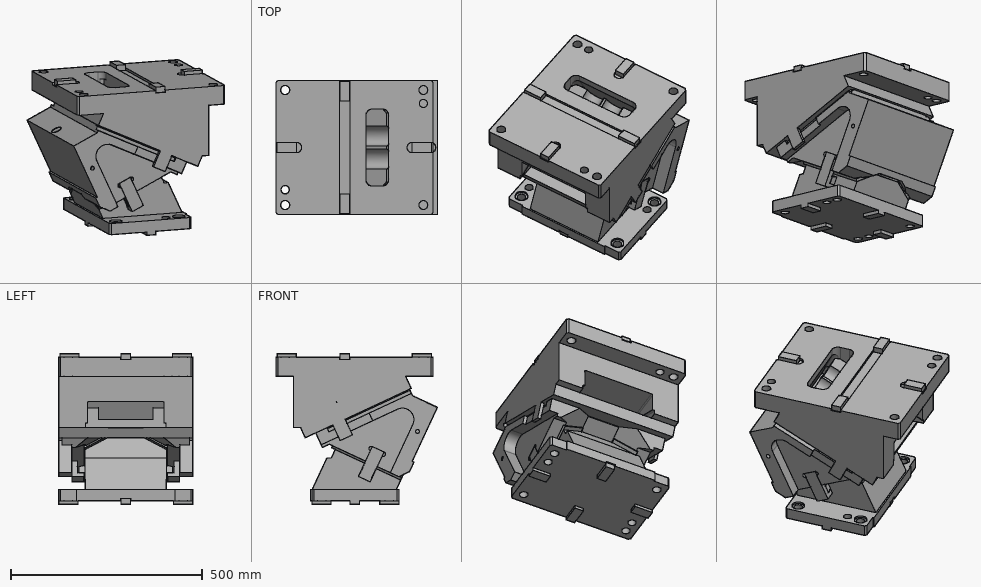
import cadquery as cq
import math


SLOPE = math.radians(25)
COS = math.cos(SLOPE)
SIN = math.sin(SLOPE)
U = (COS, SIN)
V = (-SIN, COS)
P = (COS, -SIN)
Q = (SIN, COS)

UPRIGHT = cq.Plane((0, 0, 0), (1, 0, 0), (0, -1, 0))
UPPER = cq.Plane((0, 0, 0), (COS, 0, SIN), (0, -1, 0))
ALONG_UPPER = cq.Plane((0, 0, 0), (COS, 0, SIN), (-SIN, 0, COS))
ACROSS_UPPER = cq.Plane((0, 0, 0), (0, 1, 0), (COS, 0, SIN))
LOWER = cq.Plane((0, 0, 0), (COS, 0, -SIN), (0, -1, 0))
ALONG_LOWER = cq.Plane((0, 0, 0), (COS, 0, -SIN), (SIN, 0, COS))
ACROSS_LOWER = cq.Plane((0, 0, 0), (0, 1, 0), (COS, 0, -SIN))

half_width = 175.0
far = 600.0

plate_length = 410.0
plate_bottom = 334.0
plate_top = 384.0
corner_chamfer = 5.0
upper_slide = 125.0
driver_left = 45.5
driver_floor = 200.5
chin_u = 142.5
driver_end_u = 448.0
hook_start_u = 222.0
hook_end_u = 257.5
hook_bottom_v = 80.0
hook_inner_y = 166.0
cavity_half_width = 99.5
cavity_top = 268.0
cavity_foot_half_width = 105.0
cavity_foot_v = 173.5
cavity_corner_radius = 3.0
stop_face_u = 256.0
stop_half_width = 71.0
window_top_v = 158.0
slot_left = 235.0
slot_right = 294.0
slot_half_width = 100.5
slot_corner_radius = 17.0
slot_straight_depth = 19.0
ramp_v = 198.0
ramp_end_u = 410.5
ramp_half_width = 98.5
ramp_chamfer = 9.0
trough_radius = 26.0
trough_y = 30.0
chamber_end_u = slot_right * COS + (plate_top - slot_straight_depth) * SIN
mount_hole_x = (24.0, 384.5)
mount_hole_y = 150.0
mount_hole_diameter = 23.0
dowel_diameter = 21.0
driver_dowels = ((24.0, -110.0), (384.5, 115.0))

key_width = 25.0
key_length = 50.5
key_stand_off = 9.0
key_slot_width = 27.0
key_slot_depth = 6.0
key_inset = 3.0
cross_key_x = 179.5
right_key_slot_start = 342.0

tail_u = 172.5
tail_bottom_v = 83.0
slider_bottom_q = 201.0
slider_end_q = 407.7
slider_end_u = 443.0
slider_back_p = 275.0
heel_p = 280.0
heel_top_q = 252.0
heel_bottom_v = -70.0
rail_y = 166.0
rail_end_u = 321.0
rail_bottom_v = 91.0
bearing_step_v = 122.0
bearing_y = 150.0
ledge_v = 113.0
ledge_y = 160.0
ledge_start_u = 205.0
core_y = 141.5
recess_right_p = 235.5
recess_radius = 30.0
tapped_hole_xz = (369.3, 190.2)
tapped_hole_diameter = 10.0
tapped_hole_depth = 20.0
spot_face_p = 256.5
spot_face_diameter = key_slot_width
spot_face_depth = 1.0

claw_start_p = 164.0
claw_end_p = 198.0
claw_bottom_q = 157.0
claw_foot_q = 168.0
claw_top_q = 243.0
claw_inner_y = 109.5
claw_leg_y = 126.0
claw_outer_y = 140.5
claw_relief_radius = 6.0
lug_outer_y = 122.5
lug_inner_top_q = 190.0
lug_outer_top_q = 186.0
lug_end_gap = 2.0

base_left = 90.0
base_corner_left = 93.7
base_right = 321.0
base_nose_half_width = 129.0
base_bottom = 9.0
base_top = 39.0
block_half_width = 106.0
block_left_p = 69.0
block_step_z = 121.0
block_step_p = 79.5
block_right_p = 268.5
eave_q = 195.0
roof_angle = math.radians(30)
roof_flat_half_width = 45.0
wear_plate_thickness = 8.0
slider_roof_gap = 5.2
wear_plate_start_p = 69.0
wear_plate_end_p = 267.5
base_hole_inset = 26.0
base_hole_y = 150.0
base_hole_diameter = 22.0
counterbore_diameter = 33.0
counterbore_depth = 5.0
base_dowels = ((260.5, -150.0), (156.0, 150.0))


def meet(direction_a, a, direction_b, b):
    """(x, z) where the line at level a along direction_a crosses level b along direction_b."""
    det = direction_a[0] * direction_b[1] - direction_a[1] * direction_b[0]
    x = (a * direction_b[1] - b * direction_a[1]) / det
    z = (direction_a[0] * b - direction_b[0] * a) / det
    return (x, z)


def slab(plane, points, half):
    """Outline extruded evenly to both sides of Y = 0."""
    return cq.Workplane(plane).polyline(points).close().extrude(half, both=True)


def side_pair(plane, points, inner_y, outer_y):
    """Outline extruded between two distances from Y = 0, on both sides."""
    near = cq.Workplane(plane).workplane(offset=inner_y).polyline(points).close()
    piece = near.extrude(outer_y - inner_y)
    return piece.union(piece.mirror("XZ"))


def rectangle(a0, a1, b0, b1):
    return [(a0, b0), (a1, b0), (a1, b1), (a0, b1)]


def box(x0, x1, y0, y1, z0, z1):
    return cq.Workplane("XY").box(x1 - x0, y1 - y0, z1 - z0, centered=False).translate((x0, y0, z0))


def drill(points, diameter, z0, z1):
    bottom = cq.Workplane("XY").workplane(offset=z0)
    return bottom.pushPoints(points).circle(diameter / 2).extrude(z1 - z0)


def driver_block():
    outline = [
        (driver_left, plate_bottom),
        (driver_left, driver_floor),
        meet(U, chin_u, (0, 1), driver_floor),
        meet(U, chin_u, V, upper_slide),
        meet(U, driver_end_u, V, upper_slide),
        meet(U, driver_end_u, (0, 1), plate_bottom),
    ]
    plate = box(0, plate_length, -half_width, half_width, plate_bottom, plate_top)
    plate = plate.edges("|Z").chamfer(corner_chamfer)
    hooks = rectangle(hook_start_u, hook_end_u, hook_bottom_v, upper_slide)
    block = plate.union(slab(UPRIGHT, outline, half_width))
    return block.union(side_pair(UPPER, hooks, hook_inner_y, half_width))


def driver_cavity():
    """Space behind the left opening, closed by the stop wall and open to the slot by two windows."""
    tall = box(0, far, -cavity_half_width, cavity_half_width, driver_floor, cavity_top)
    tall = tall.edges("|X and >Z").fillet(cavity_corner_radius)
    foot = slab(UPPER, rectangle(-far, far, upper_slide, cavity_foot_v), cavity_foot_half_width)
    along_slide = cq.selectors.ParallelDirSelector(cq.Vector(COS, 0, SIN))
    foot = foot.edges(along_slide).edges(">Z").fillet(cavity_corner_radius)
    foot = foot.intersect(box(0, far, -half_width, half_width, driver_floor, far))
    left_of_stop = slab(UPPER, rectangle(-far, stop_face_u, -far, far), half_width)
    room = tall.union(foot).intersect(left_of_stop)
    windows = rectangle(stop_face_u, chamber_end_u, upper_slide, window_top_v)
    return room.union(side_pair(UPPER, windows, stop_half_width, cavity_half_width))


def ramp():
    """Sloping floor below the slot, with two round troughs and chamfered corners at its free end."""
    blank = slab(UPPER, rectangle(0, ramp_end_u, 0, ramp_v), far)
    trim = [
        (ramp_end_u - ramp_chamfer, ramp_half_width),
        (ramp_end_u, ramp_half_width - ramp_chamfer),
        (ramp_end_u, half_width),
        (ramp_end_u - ramp_chamfer, half_width),
    ]
    corner = cq.Workplane(ALONG_UPPER).polyline(trim).close().extrude(far)
    troughs = cq.Workplane(ACROSS_UPPER).pushPoints([(-trough_y, ramp_v), (trough_y, ramp_v)])
    troughs = troughs.circle(trough_radius).extrude(far)
    return blank.cut(corner).cut(corner.mirror("XZ")).cut(troughs)


def driver_slot():
    """Slot in the plate; below its straight part the right wall turns square to the slide."""
    straight_bottom = plate_top - slot_straight_depth
    middle = (slot_left + slot_right) / 2
    slot = cq.Workplane("XY").center(middle, 0).rect(slot_right - slot_left, 2 * slot_half_width)
    slot = slot.extrude(plate_top).edges("|Z").fillet(slot_corner_radius)
    slot = slot.intersect(slab(UPPER, rectangle(0, far, upper_slide, far), half_width))
    square_to_slide = cq.selectors.ParallelDirSelector(cq.Vector(-SIN, 0, COS))
    chamber = slab(UPPER, rectangle(stop_face_u, chamber_end_u, upper_slide, far), cavity_half_width)
    chamber = chamber.edges(square_to_slide).edges(">X").fillet(slot_corner_radius)
    chamber = chamber.intersect(box(slot_left, far, -half_width, half_width, 0, straight_bottom))
    return slot.union(chamber).cut(ramp())


def obround_end(x):
    """Round end of a key slot."""
    slot_floor = cq.Workplane("XY").workplane(offset=plate_top - key_slot_depth)
    return slot_floor.center(x, 0).circle(key_slot_width / 2).extrude(far)


def driver_key_slots():
    z0 = plate_top - key_slot_depth
    half = key_slot_width / 2
    left_end = key_inset + key_length
    right_start = right_key_slot_start + half
    across = box(cross_key_x - half, cross_key_x + half, -half_width, half_width, z0, far)
    left = box(0, left_end, -half, half, z0, far).union(obround_end(left_end))
    right = box(right_start, plate_length, -half, half, z0, far).union(obround_end(right_start))
    return across.union(left).union(right)


def driver_keys():
    z0 = plate_top - key_slot_depth
    z1 = plate_top + key_stand_off
    half = key_width / 2
    right_start = right_key_slot_start + key_slot_width / 2
    key_end_y = half_width - key_inset
    keys = box(key_inset, key_inset + key_length, -half, half, z0, z1)
    keys = keys.union(box(right_start, right_start + key_length, -half, half, z0, z1))
    for y0 in (-key_end_y, key_end_y - key_length):
        keys = keys.union(box(cross_key_x - half, cross_key_x + half, y0, y0 + key_length, z0, z1))
    return keys


def make_driver():
    mount_holes = [(x, y) for x in mount_hole_x for y in (-mount_hole_y, mount_hole_y)]
    driver = driver_block().cut(driver_cavity()).cut(driver_slot()).cut(driver_key_slots())
    driver = driver.cut(drill(mount_holes, mount_hole_diameter, plate_bottom, plate_top))
    driver = driver.cut(drill(driver_dowels, dowel_diameter, plate_bottom, plate_top))
    return driver.union(driver_keys())


wear_plate_rise = wear_plate_thickness / math.cos(roof_angle)


def roof_q(y, rise=0.0):
    """Height of the roof, or of a face parallel to it, at a distance y from the middle."""
    return eave_q + rise + (block_half_width - y) * math.tan(roof_angle)


def roof_prism(half, rise):
    """Space under the roof, lifted by rise, out to the given half width."""
    flat_q = roof_q(roof_flat_half_width, rise)
    profile = [
        (-half, 0),
        (half, 0),
        (half, roof_q(half, rise)),
        (roof_flat_half_width, flat_q),
        (-roof_flat_half_width, flat_q),
        (-half, roof_q(half, rise)),
    ]
    return cq.Workplane(ACROSS_LOWER).polyline(profile).close().extrude(far, both=True)


def wear_plates():
    """Two plates with square edges that line the V of the slider."""
    edge_y = block_half_width + wear_plate_thickness * math.sin(roof_angle)
    edge_q = eave_q + wear_plate_thickness * math.cos(roof_angle)
    length = wear_plate_end_p - wear_plate_start_p
    profile = [
        (block_half_width, eave_q),
        (edge_y, edge_q),
        (roof_flat_half_width, roof_q(roof_flat_half_width, wear_plate_rise)),
        (roof_flat_half_width, roof_q(roof_flat_half_width)),
    ]
    start = cq.Workplane(ACROSS_LOWER).workplane(offset=wear_plate_start_p)
    plate = start.polyline(profile).close().extrude(length)
    return plate.union(plate.mirror("XZ"))


def slider_blank():
    outline = [
        meet(U, tail_u, V, upper_slide),
        meet(U, tail_u, V, tail_bottom_v),
        meet(V, tail_bottom_v, Q, slider_bottom_q),
        meet(Q, slider_bottom_q, V, heel_bottom_v),
        meet(V, heel_bottom_v, P, heel_p),
        meet(P, heel_p, Q, heel_top_q),
        meet(P, slider_back_p, Q, heel_top_q),
        meet(P, slider_back_p, Q, slider_end_q),
        meet(Q, slider_end_q, U, slider_end_u),
        meet(U, slider_end_u, V, upper_slide),
    ]
    return slab(UPRIGHT, outline, half_width)


def side_recesses():
    """Pockets below the rails with one round corner at the top right."""
    points = [
        meet(V, rail_bottom_v, P, recess_right_p),
        meet(V, rail_bottom_v, U, -far),
        meet(P, recess_right_p, Q, -far),
    ]
    pocket = side_pair(UPRIGHT, points, core_y, far)
    return pocket.edges("|Y").edges(">Z").fillet(recess_radius)


def rail_cuts():
    """Narrower rails, the ledge along their top and the step beside the bearing face."""
    narrow = side_pair(UPPER, rectangle(0, rail_end_u, 0, far), rail_y, far)
    ledge = side_pair(UPPER, rectangle(ledge_start_u, far, ledge_v, far), ledge_y, far)
    step = side_pair(UPPER, rectangle(ledge_start_u, far, bearing_step_v, far), bearing_y, far)
    return narrow.union(ledge).union(step)


def claw_seats():
    """Seats for the claws with round reliefs at their two upper corners."""
    seat = side_pair(LOWER, rectangle(claw_start_p, claw_end_p, 0, claw_top_q), claw_outer_y, core_y)
    reliefs = cq.Workplane(LOWER).workplane(offset=claw_leg_y)
    reliefs = reliefs.pushPoints([(p, claw_top_q - claw_relief_radius) for p in (claw_start_p, claw_end_p)])
    reliefs = reliefs.circle(claw_relief_radius).extrude(core_y - claw_leg_y)
    return seat.union(reliefs).union(reliefs.mirror("XZ"))


def claws():
    leg = rectangle(claw_start_p, claw_end_p, claw_bottom_q, claw_top_q)
    foot = rectangle(claw_start_p, claw_end_p, claw_bottom_q, claw_foot_q)
    legs = side_pair(LOWER, leg, claw_leg_y, claw_outer_y)
    return legs.union(side_pair(LOWER, foot, claw_inner_y, claw_outer_y))


def slider_holes():
    """Tapped hole in each side and a shallow round spot face on the upper end."""
    tapped = cq.Workplane(UPRIGHT).workplane(offset=half_width - tapped_hole_depth)
    tapped = tapped.center(*tapped_hole_xz).circle(tapped_hole_diameter / 2).extrude(tapped_hole_depth)
    tapped = tapped.union(tapped.mirror("XZ"))
    spot = cq.Workplane(ALONG_LOWER)
    spot = spot.workplane(offset=slider_end_q - spot_face_depth).center(spot_face_p, 0)
    return tapped.union(spot.circle(spot_face_diameter / 2).extrude(spot_face_depth))


def make_slider():
    slider = slider_blank().cut(rail_cuts()).cut(side_recesses())
    slider = slider.cut(roof_prism(core_y, slider_roof_gap)).union(wear_plates())
    slider = slider.cut(slider_holes())
    return slider.cut(claw_seats()).union(claws())


def base_plate():
    plate = box(base_corner_left, base_right, -half_width, half_width, base_bottom, base_top)
    plate = plate.edges("|Z").chamfer(corner_chamfer)
    nose = box(base_left, base_right, -base_nose_half_width, base_nose_half_width, base_bottom, base_top)
    return plate.union(nose)


def base_block():
    """Leaning block with the V roof on top."""
    outline = [
        meet(P, block_left_p, (0, 1), base_top),
        meet(P, block_left_p, (0, 1), block_step_z),
        meet(P, block_step_p, (0, 1), block_step_z),
        meet(P, block_step_p, Q, far),
        meet(P, block_right_p, Q, far),
        meet(P, block_right_p, (0, 1), base_top),
    ]
    return slab(UPRIGHT, outline, block_half_width).intersect(roof_prism(block_half_width, 0))


def base_lugs():
    profile = [
        (block_half_width, claw_foot_q),
        (lug_outer_y, claw_foot_q),
        (lug_outer_y, lug_outer_top_q),
        (block_half_width, lug_inner_top_q),
    ]
    start = cq.Workplane(ACROSS_LOWER).workplane(offset=claw_start_p + lug_end_gap)
    lug = start.polyline(profile).close().extrude(claw_end_p - claw_start_p - 2 * lug_end_gap)
    return lug.union(lug.mirror("XZ"))


def base_keys():
    half = key_width / 2
    middle = (base_left + base_right) / 2
    z1 = base_bottom + key_slot_depth
    keys = box(base_corner_left, base_corner_left + key_length, -half, half, 0, z1)
    keys = keys.union(box(base_right - key_length, base_right, -half, half, 0, z1))
    for y0 in (-half_width, half_width - key_length):
        keys = keys.union(box(middle - half, middle + half, y0, y0 + key_length, 0, z1))
    return keys


def make_base():
    hole_x = (base_corner_left + base_hole_inset, base_right - base_hole_inset)
    holes = [(x, y) for x in hole_x for y in (-base_hole_y, base_hole_y)]
    base = base_plate().union(base_block()).union(base_lugs())
    base = base.cut(drill(holes, base_hole_diameter, base_bottom, base_top))
    base = base.cut(drill(holes, counterbore_diameter, base_top - counterbore_depth, base_top))
    base = base.cut(drill(base_dowels, dowel_diameter, base_bottom, base_top))
    slot_half = key_slot_width / 2
    slot_end = base_corner_left + key_length
    key_slot = box(base_left, slot_end, -slot_half, slot_half, 0, base_bottom + key_slot_depth)
    return base.cut(key_slot).union(base_keys())


driver = make_driver()
slider = make_slider()
base = make_base()

result = cq.Compound.makeCompound([body.solids().val() for body in (driver, slider, base)])